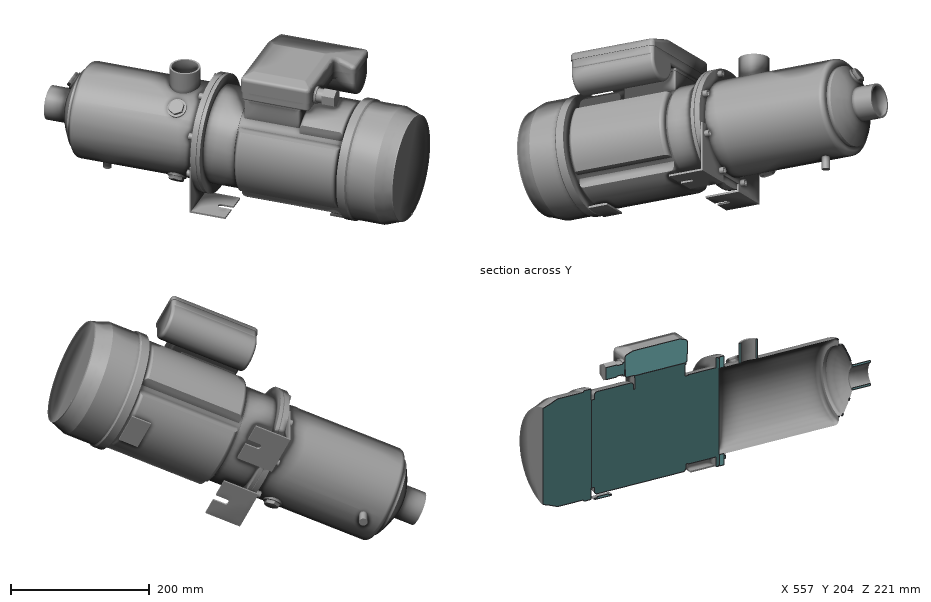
import cadquery as cq
import math

base_z = -89.5
overall_length = 557.0
overall_width = 204.0

casing_radius = 142.5 / 2
casing_bore_radius = 140.0 / 2
casing_wall = casing_radius - casing_bore_radius
casing_front_x = 54.0
casing_corner = 6.5
dome_front_x = 31.0
dome_mid = (37.5, 40.0)
dome_rim_x = 48.0
dome_rim_radius = 59.0
inlet_radius = 50.5 / 2
inlet_bore_radius = 22.5
flange_radius = 176.5 / 2
flange_front_x = 248.5
flange_back_x = 257.0
port_x = 208.0
port_radius = 22.5
port_bore_radius = 19.5
port_top_z = 100.0
drain_x = 88.5
drain_radius = 6.0

plug_washer_radius = 14.0
plug_corners = 23.5
plug_face_radius = 20.5 / 2
plug_chamfer_height = 1.0
plug_head_height = 5.0
plug_depth = 9.5
side_plug_x = 212.0
side_plug_angle = 51.0
side_plug_reach = 78.5
dome_plug_x = 33.0
dome_plug_z = 47.0
dome_plug_tilt = 30.0

bolt_count = 8
bolt_circle_radius = 80.0
bolt_head_radius = 5.0
bolt_head_height = 6.5
bolt_shank_radius = 3.6
socket_corners = 6.0
socket_depth = 3.0

sheet = 3.0
bracket_half_width = 84.0
bracket_top_z = -15.5
bracket_foot_length = 55.0
bracket_bore_radius = 73.0
bracket_window_half_width = 22.5
bracket_window_top_z = -77.5
bracket_slot_width = 9.0
bracket_slot_length = 22.5
bracket_slot_y = 54.0

seal_radius = 86.5
seal_thickness = 1.0
motor_flange_back_x = 263.0
adaptor_radius = 73.0
adaptor_back_x = 310.0
core_radius = 72.0
core_back_x = 473.5
pad_radius = 83.0
pad_half_width = 48.5
pad_front_x = 313.0
pad_back_x = 469.0
pad_end_fillet = 6.0
top_pad_front_x = 401.5
neck_front_x = 314.0
neck_back_x = 400.0
neck_half_width = 42.5
neck_corner = 3.0
neck_lip_z = 87.5
neck_lip_overhang = 1.0

cover_rim_radius = 179.0 / 2
cover_rim_back_x = 486.0
cover_rim_chamfer = 2.0
cover_radius = 174.5 / 2
cover_taper_x = 531.0
cover_taper_end_x = 554.5
cover_back_x = 556.0
cover_back_radius = 78.5
nub_radius = 1.5
nub_z = -76.5

box_front_x = 310.5
box_back_x = 417.0
pod_back_x = 449.0
box_south_y = -49.0
box_step_y = 55.5
box_north_y = overall_width - cover_rim_radius
box_bottom_z = 91.5
box_parting_z = 105.0
box_top_z = 131.5
tray_inset = 1.0
box_corner = 6.0
cover_fillet = 6.0
tray_fillet = 3.0
panel_margin_x = 14.0
panel_front_x = box_front_x + panel_margin_x
panel_back_x = box_back_x - panel_margin_x
panel_north_y = 54.5
roof_drop = 16.0
roof_run_x = pod_back_x - panel_back_x
roof_run_y = box_north_y - panel_north_y
panel_south_y = box_south_y + panel_margin_x * roof_run_y / roof_run_x
roof_reach = 3
pod_radius = 28.0
pod_y = 84.5
pod_z = 87.5
pod_fillet = 4.5

gland_y = -21.0
gland_z = 106.0
gland_neck_radius = 10.5
gland_collar_radius = 13.0
gland_collar_length = 3.5
gland_nut_x = 430.0
gland_nut_corners = 27.0
gland_end_x = 449.0

foot_x = 454.0
foot_pad = (30.0, 44.5, 3.0)
foot_step = (19.5, 39.0, 1.5)
foot_stem_radius = 4.5


def disc(x_start, x_end, radius, y=0.0, z=0.0):
    """Cylinder along X."""
    return cq.Workplane("YZ", origin=(x_start, y, z)).circle(radius).extrude(x_end - x_start)


def block(x_start, x_end, y_start, y_end, z_start, z_end):
    """Box given by its limits along each axis."""
    size = (x_end - x_start, y_end - y_start, z_end - z_start)
    return cq.Workplane("XY").box(*size, centered=False).translate((x_start, y_start, z_start))


def casing_form(inset):
    """Domed drum, with every surface moved inward by the inset."""
    front = casing_front_x + inset
    radius = casing_radius - inset
    corner = casing_corner - inset
    rim = dome_rim_radius - inset
    bend = corner * math.sqrt(0.5)
    return (
        cq.Workplane("XY")
        .moveTo(dome_front_x + inset, 0)
        .lineTo(dome_front_x + inset, inlet_radius)
        .threePointArc((dome_mid[0] + inset, dome_mid[1]), (dome_rim_x + inset, rim))
        .lineTo(front, rim)
        .lineTo(front, radius - corner)
        .threePointArc((front + corner - bend, radius - corner + bend), (front + corner, radius))
        .lineTo(flange_back_x, radius)
        .lineTo(flange_back_x, 0)
        .close()
        .revolve(360, (0, 0, 0), (1, 0, 0))
    )


def plug():
    """Hexagon head on a round washer, with its face on Z = 0 looking up."""
    corner_radius = plug_corners / 2
    washer = cq.Workplane("XY", origin=(0, 0, -plug_depth)).circle(plug_washer_radius)
    washer = washer.extrude(plug_depth - plug_head_height)
    head = cq.Workplane("XY").polygon(6, plug_corners).extrude(-plug_head_height)
    head = head.rotate((0, 0, 0), (0, 0, 1), 90)
    turned = (
        cq.Workplane("XZ")
        .moveTo(0, 0)
        .lineTo(plug_face_radius, 0)
        .lineTo(corner_radius, -plug_chamfer_height)
        .lineTo(corner_radius, -plug_head_height)
        .lineTo(0, -plug_head_height)
        .close()
        .revolve(360, (0, 0, 0), (0, 1, 0))
    )
    return head.intersect(turned).union(washer)


def side_plug(angle):
    """Plug in the drum wall at the given angle above the -Y direction."""
    upright = plug().translate((side_plug_x, 0, side_plug_reach))
    return upright.rotate((0, 0, 0), (1, 0, 0), 90 - angle)


def dome_plug():
    """Plug in the dome above the inlet, square to the dome surface."""
    tilted = plug().rotate((0, 0, 0), (0, 1, 0), dome_plug_tilt - 90)
    return tilted.translate((dome_plug_x, 0, dome_plug_z))


def bolt_places():
    """Y and Z of each bolt on the bolt circle."""
    step = 2 * math.pi / bolt_count
    angles = [(i + 0.5) * step for i in range(bolt_count)]
    return [(bolt_circle_radius * math.cos(a), bolt_circle_radius * math.sin(a)) for a in angles]


def bolt(y, z):
    """Socket head bolt; one below the bracket top clamps the bracket sheet."""
    seat = flange_front_x - sheet if z < bracket_top_z else flange_front_x
    head = disc(seat - bolt_head_height, seat, bolt_head_radius, y, z)
    shank = disc(seat, flange_back_x, bolt_shank_radius, y, z)
    socket = (
        cq.Workplane("YZ", origin=(seat - bolt_head_height, y, z))
        .polygon(6, socket_corners)
        .extrude(socket_depth)
    )
    return head.union(shank).cut(socket)


def make_casing():
    outer = casing_form(0).union(disc(flange_front_x, flange_back_x, flange_radius))
    outer = outer.union(disc(0, casing_front_x, inlet_radius))
    outer = outer.union(cq.Workplane("XY").center(port_x, 0).circle(port_radius).extrude(port_top_z))
    outer = outer.union(cq.Workplane("XY").center(drain_x, 0).circle(drain_radius).extrude(base_z))
    for angle in (side_plug_angle, -side_plug_angle):
        outer = outer.union(side_plug(angle))
    outer = outer.union(dome_plug())
    shell = outer.cut(casing_form(casing_wall))
    shell = shell.cut(disc(0, casing_front_x, inlet_bore_radius))
    shell = shell.cut(cq.Workplane("XY").center(port_x, 0).circle(port_bore_radius).extrude(port_top_z))
    for y, z in bolt_places():
        shell = shell.union(bolt(y, z))
    return shell


def make_bracket():
    front = flange_front_x - sheet
    back = front + bracket_foot_length
    half = bracket_half_width
    window = bracket_window_half_width
    body = block(front, flange_front_x, -half, half, base_z, bracket_top_z)
    body = body.union(block(front, back, -half, half, base_z, base_z + sheet))
    body = body.cut(disc(front, flange_front_x, bracket_bore_radius))
    body = body.cut(block(front, back, -window, window, base_z, bracket_window_top_z))
    for y, z in bolt_places():
        body = body.cut(disc(front, flange_front_x, bolt_shank_radius, y, z))
    slots = (
        cq.Workplane("XY", origin=(back, 0, base_z))
        .pushPoints([(0, bracket_slot_y), (0, -bracket_slot_y)])
        .slot2D(2 * bracket_slot_length, bracket_slot_width)
        .extrude(sheet)
    )
    return body.cut(slots)


def motor_pad(front_x, angle):
    """Raised pad on the motor core with rounded ends, turned about the pump axis."""
    drum = disc(front_x, pad_back_x, pad_radius).edges().fillet(pad_end_fillet)
    limits = block(front_x, pad_back_x, -pad_half_width, pad_half_width, 0, pad_radius)
    return drum.intersect(limits).rotate((0, 0, 0), (1, 0, 0), angle)


def neck_block(overhang, bottom):
    """Corner-rounded block that carries the terminal box, widened by the overhang."""
    half = neck_half_width + overhang
    neck = block(neck_front_x - overhang, neck_back_x + overhang, -half, half, bottom, box_bottom_z)
    return neck.edges("|Z").fillet(neck_corner)


def make_motor():
    body = disc(flange_back_x, flange_back_x + seal_thickness, seal_radius)
    body = body.union(disc(flange_back_x + seal_thickness, motor_flange_back_x, flange_radius))
    body = body.union(disc(motor_flange_back_x, adaptor_back_x, adaptor_radius))
    body = body.union(disc(adaptor_back_x, core_back_x, core_radius))
    body = body.union(motor_pad(top_pad_front_x, 0))
    for angle in (90, 180, 270):
        body = body.union(motor_pad(pad_front_x, angle))
    return body.union(neck_block(0, 0)).union(neck_block(neck_lip_overhang, neck_lip_z))


def box_outline(inset, bottom, top):
    """Upright prism on the L-shaped plan of the terminal box."""
    points = [
        (box_front_x + inset, box_south_y + inset),
        (box_back_x - inset, box_south_y + inset),
        (box_back_x - inset, box_step_y + inset),
        (pod_back_x - inset, box_step_y + inset),
        (pod_back_x - inset, box_north_y - inset),
        (box_front_x + inset, box_north_y - inset),
    ]
    return cq.Workplane("XY", origin=(0, 0, bottom)).polyline(points).close().extrude(top - bottom)


def roof_form():
    """Wide frustum whose four slopes fall away from the flat top panel."""
    width = panel_back_x - panel_front_x
    depth = panel_north_y - panel_south_y
    centre = ((panel_front_x + panel_back_x) / 2, (panel_south_y + panel_north_y) / 2, box_top_z)
    return (
        cq.Workplane("XY", origin=centre)
        .rect(width, depth)
        .workplane(offset=-roof_reach * roof_drop)
        .rect(width + 2 * roof_reach * roof_run_x, depth + 2 * roof_reach * roof_run_y)
        .loft(ruled=True)
    )


def box_pod():
    """Hanging round-bottomed pod under the wide side of the box."""
    front = box_front_x + tray_inset
    back = pod_back_x - tray_inset
    pod = (
        cq.Workplane("YZ", origin=(front, pod_y, 0))
        .moveTo(-pod_radius, box_parting_z)
        .lineTo(-pod_radius, pod_z)
        .threePointArc((0, pod_z - pod_radius), (pod_radius, pod_z))
        .lineTo(pod_radius, box_parting_z)
        .close()
        .extrude(back - front)
    )
    return pod.faces("<X or >X").edges("not >Z").fillet(pod_fillet)


def make_terminal_box():
    cover = box_outline(0, box_parting_z, box_top_z).intersect(roof_form())
    cover = cover.edges("not <Z").fillet(cover_fillet)
    tray = box_outline(tray_inset, box_bottom_z, box_parting_z)
    tray = tray.edges("|Z").fillet(box_corner).faces("<Z").edges().fillet(tray_fillet)
    return cover.union(tray).union(box_pod())


def make_gland():
    collar_end = box_back_x + gland_collar_length
    body = disc(box_back_x, collar_end, gland_collar_radius, gland_y, gland_z)
    body = body.union(disc(collar_end, gland_nut_x, gland_neck_radius, gland_y, gland_z))
    nut = (
        cq.Workplane("YZ", origin=(gland_nut_x, gland_y, gland_z))
        .polygon(6, gland_nut_corners)
        .extrude(gland_end_x - gland_nut_x)
        .rotate((0, gland_y, gland_z), (1, gland_y, gland_z), 90)
    )
    return body.union(nut)


def make_fan_cover():
    """Rimmed drum behind the motor core, tapered at the back, with a small nub near its lower edge."""
    body = (
        cq.Workplane("XY")
        .moveTo(core_back_x, 0)
        .lineTo(core_back_x, cover_rim_radius)
        .lineTo(cover_rim_back_x, cover_rim_radius)
        .lineTo(cover_rim_back_x + cover_rim_chamfer, cover_radius)
        .lineTo(cover_taper_x, cover_radius)
        .lineTo(cover_taper_end_x, cover_back_radius)
        .lineTo(cover_back_x, cover_back_radius)
        .lineTo(cover_back_x, 0)
        .close()
        .revolve(360, (0, 0, 0), (1, 0, 0))
    )
    return body.union(disc(cover_taper_x, overall_length, nub_radius, 0, nub_z))


def make_rear_foot():
    """Stepped foot under the lowest motor pad."""
    pad_length, pad_width, pad_height = foot_pad
    step_length, step_width, step_height = foot_step
    base = cq.Workplane("XY", origin=(foot_x, 0, base_z))
    foot = base.rect(pad_length, pad_width).extrude(pad_height)
    foot = foot.union(base.rect(step_length, step_width).extrude(pad_height + step_height))
    return foot.union(base.circle(foot_stem_radius).extrude(-pad_radius - base_z))


casing = make_casing()
bracket = make_bracket()
motor = make_motor()
terminal_box = make_terminal_box()
gland = make_gland()
fan_cover = make_fan_cover()
rear_foot = make_rear_foot().cut(motor)

bodies = [casing, bracket, motor, terminal_box, gland, fan_cover, rear_foot]
result = cq.Compound.makeCompound([body.solids().val() for body in bodies])